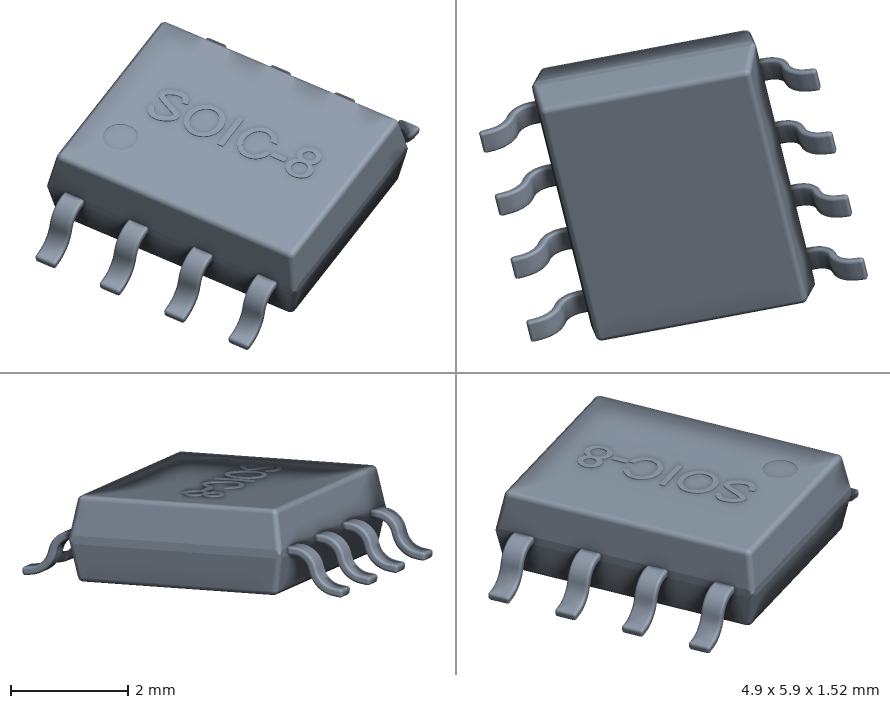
import cadquery as cq
import math

package_x = 4.9
package_y = 3.9
package_z = 1.5
band_height = 0.15
draft_angle = 10.0
package_fillet = 0.1
mid_z = package_z / 2
band_cut = band_height / 2 * math.tan(math.radians(draft_angle))

leads_per_side = 4
lead_pitch = 1.27
lead_span = 5.9
lead_width = 0.4
lead_thickness = 0.15
lead_fillet = 0.05
web_angle = math.radians(74.0)
foot_angle = math.radians(8.0)
upper_bend_radius = 0.365
lower_bend_radius = 0.45
foot_length = 0.17
lead_embed = 0.175

mark_diameter = 0.6
mark_depth = 0.01
mark_x = -1.59
mark_y = -0.9

text_y = 0.125
text_raise = 0.021
cap_height = 0.715
round_height = 0.74
stroke = 0.1
round_stroke_y = 0.08

letter_s_x = -1.24
letter_s_points = [(0.23, 0.175), (0, 0.325), (-0.22, 0.18), (0, 0.01), (0.24, -0.16), (0, -0.325), (-0.235, -0.135)]

letter_o_x = -0.525
letter_o_width = 0.695

letter_i_x = -0.01

letter_c_x = 0.515
letter_c_width = 0.665
letter_c_opening_y = 0.15
letter_c_opening_height = 0.24

dash_x = 1.0
dash_y = 0.03
dash_length = 0.27

digit_8_x = 1.435
digit_8_loops = [(0.305, 0.43, 0.39, 0.23, 0.21), (-0.025, 0.495, 0.415, 0.295, 0.29)]


def make_package():
    """Moulded package with drafted sides, rounded edges and the pin-1 recess."""
    half = (
        cq.Workplane("XY", origin=(0, 0, mid_z))
        .rect(package_x + 2 * band_cut, package_y + 2 * band_cut)
        .extrude(mid_z, taper=draft_angle)
        .edges("not #Z").fillet(package_fillet)
        .faces(">Z").edges().fillet(package_fillet)
    )
    halves = half.union(half.mirror("XY", (0, 0, mid_z)))
    package = halves.intersect(cq.Workplane("XY").rect(package_x, package_y).extrude(package_z))
    mark = (
        cq.Workplane("XY", origin=(mark_x, mark_y, package_z - mark_depth))
        .circle(mark_diameter / 2)
        .extrude(mark_depth)
    )
    return package.cut(mark)


def make_lead(x):
    """Lead on the +Y side, bent along a centreline of tangent lines and arcs."""
    tip_corner = lead_thickness / 2 - lead_fillet
    tip_y = lead_span / 2 - lead_fillet * (1 - math.cos(foot_angle)) - tip_corner * math.sin(foot_angle)
    tip_z = lead_fillet * (1 - math.sin(foot_angle)) + tip_corner * math.cos(foot_angle)
    foot_y = tip_y - foot_length * math.cos(foot_angle)
    foot_z = tip_z + foot_length * math.sin(foot_angle)
    lower_centre_y = foot_y + lower_bend_radius * math.sin(foot_angle)
    lower_centre_z = foot_z + lower_bend_radius * math.cos(foot_angle)
    upper_centre_z = mid_z - upper_bend_radius

    def lower_point(angle):
        return (
            lower_centre_y - lower_bend_radius * math.sin(angle),
            lower_centre_z - lower_bend_radius * math.cos(angle),
        )

    web_end_y, web_end_z = lower_point(web_angle)
    web_start_z = upper_centre_z + upper_bend_radius * math.cos(web_angle)
    web_start_y = web_end_y - (web_start_z - web_end_z) / math.tan(web_angle)
    shoulder_y = web_start_y - upper_bend_radius * math.sin(web_angle)
    upper_mid = (
        shoulder_y + upper_bend_radius * math.sin(web_angle / 2),
        upper_centre_z + upper_bend_radius * math.cos(web_angle / 2),
    )
    root_y = package_y / 2 - lead_embed

    centreline = (
        cq.Workplane("YZ", origin=(x, 0, 0))
        .moveTo(root_y, mid_z)
        .lineTo(shoulder_y, mid_z)
        .threePointArc(upper_mid, (web_start_y, web_start_z))
        .lineTo(web_end_y, web_end_z)
        .threePointArc(lower_point((web_angle + foot_angle) / 2), (foot_y, foot_z))
        .lineTo(tip_y, tip_z)
    )
    section = cq.Sketch().rect(lead_width, lead_thickness).vertices().fillet(lead_fillet)
    lead = cq.Workplane("XZ", origin=(x, root_y, mid_z)).placeSketch(section).sweep(centreline)
    return lead.faces(">Y").edges().fillet(lead_fillet)


def make_leaded_package():
    """Package and its two mirrored rows of leads, joined into one solid."""
    body = make_package()
    for i in range(leads_per_side):
        lead = make_lead((i - (leads_per_side - 1) / 2) * lead_pitch)
        body = body.union(lead).union(lead.mirror("XZ"))
    return body


def top_plane(x, y):
    """Workplane on the top face, centred on the given place."""
    return cq.Workplane("XY", origin=(x, y, package_z))


def make_bar(x, y, width, height):
    """Straight raised stroke."""
    return top_plane(x, y).rect(width, height).extrude(text_raise)


def make_ellipse(x, y, width, height):
    """Raised elliptical disc."""
    return top_plane(x, y).ellipse(width / 2, height / 2).extrude(text_raise)


def make_ring(x, y, width, height):
    """Raised elliptical ring, slightly thinner at top and bottom."""
    hole = make_ellipse(x, y, width - 2 * stroke, height - 2 * round_stroke_y)
    return make_ellipse(x, y, width, height).cut(hole)


def make_letter_s():
    """Curved stroke swept along a spline."""
    spine = top_plane(letter_s_x, text_y).spline(letter_s_points)
    plane = cq.Plane(spine.val().startPoint(), xDir=(0, 0, 1), normal=spine.val().tangentAt(0))
    return cq.Workplane(plane).center(text_raise / 2, 0).rect(text_raise, stroke).sweep(spine)


def make_letter_c():
    """Ring opened on its right side."""
    opening_x = letter_c_x + letter_c_width / 2
    opening = make_bar(opening_x, letter_c_opening_y, letter_c_width, letter_c_opening_height)
    return make_ring(letter_c_x, text_y, letter_c_width, round_height).cut(opening)


def make_digit_8():
    """Two elliptical discs joined at the waist, with a hole through each."""
    discs = cq.Workplane()
    holes = cq.Workplane()
    for y, width, height, hole_width, hole_height in digit_8_loops:
        discs = discs.add(make_ellipse(digit_8_x, y, width, height))
        holes = holes.add(make_ellipse(digit_8_x, y, hole_width, hole_height))
    return discs.combine().cut(holes.combine())


leaded_package = make_leaded_package()
letter_s = make_letter_s()
letter_o = make_ring(letter_o_x, text_y, letter_o_width, round_height)
letter_i = make_bar(letter_i_x, text_y, stroke, cap_height)
letter_c = make_letter_c()
dash = make_bar(dash_x, dash_y, dash_length, stroke)
digit_8 = make_digit_8()

result = cq.Compound.makeCompound([
    leaded_package.solids().val(),
    letter_s.solids().val(),
    letter_o.solids().val(),
    letter_i.solids().val(),
    letter_c.solids().val(),
    dash.solids().val(),
    digit_8.solids().val(),
])